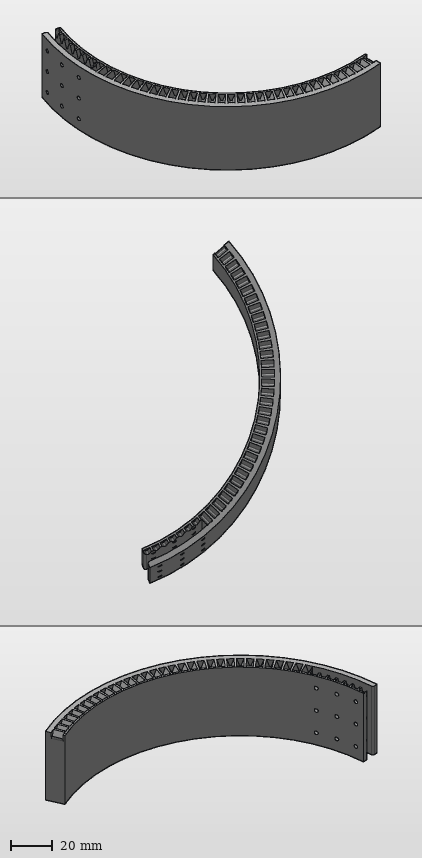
import cadquery as cq
import math

OUTER_RADIUS = 100.0
BAND_THICKNESS = 10.0
OUTER_SKIN = 2.9
INNER_SKIN = 1.0
HEIGHT = 40.0
START_ANGLE = -100.0
END_ANGLE = 9.0

INNER_RADIUS = OUTER_RADIUS - BAND_THICKNESS
CORE_OUTER_RADIUS = OUTER_RADIUS - OUTER_SKIN
CORE_INNER_RADIUS = INNER_RADIUS + INNER_SKIN

SLOT_WIDTH = 4.0
SLOT_END_ANGLE = -80.0
SLOT_MOUTH_RADIUS = 1.0

GROOVE_COUNT = 39
GROOVE_PITCH_ANGLE = 2.82
FIRST_GROOVE_OFFSET_ANGLE = 1.2
FIRST_GROOVE_ANGLE = START_ANGLE + FIRST_GROOVE_OFFSET_ANGLE
GROOVE_WIDTH = 3.5
GROOVE_DEPTH = 4.0
GROOVE_BOTTOM_RADIUS = 0.5

HOLE_DIAMETER = 2.0
HOLE_ANGLES = (-97.0, -90.0, -83.0)
HOLE_ROW_SPACING = 13.0

OVERCUT = 1.2
OVERCUT_ANGLE = 1.0

ARC_CENTER_X = -OUTER_RADIUS * math.cos(math.radians(START_ANGLE))
ARC_CENTER_Y = OUTER_RADIUS


def polar_point(radius, angle):
    """Point at a radius and an angle in degrees about the arc axis."""
    turn = math.radians(angle)
    return (radius * math.cos(turn), radius * math.sin(turn))


def arc_band(inner, outer, start, end):
    """Full-height ring sector between two radii and two angles."""
    middle = (start + end) / 2
    return (
        cq.Workplane("XY")
        .moveTo(*polar_point(outer, start))
        .threePointArc(polar_point(outer, middle), polar_point(outer, end))
        .lineTo(*polar_point(inner, end))
        .threePointArc(polar_point(inner, middle), polar_point(inner, start))
        .close()
        .extrude(HEIGHT)
    )


def slot():
    """Gap between the outer skin and the thinned core."""
    return arc_band(
        CORE_OUTER_RADIUS - SLOT_WIDTH,
        CORE_OUTER_RADIUS,
        START_ANGLE - OVERCUT_ANGLE,
        SLOT_END_ANGLE,
    )


def groove_cutter():
    """One V groove with a rounded bottom, lying along the X direction."""
    half_width = GROOVE_WIDTH / 2
    circle_depth = GROOVE_DEPTH - GROOVE_BOTTOM_RADIUS
    rim_to_circle = math.hypot(half_width, circle_depth)
    flank_angle = math.atan2(half_width, circle_depth) - math.asin(GROOVE_BOTTOM_RADIUS / rim_to_circle)
    tangent_y = GROOVE_BOTTOM_RADIUS * math.cos(flank_angle)
    tangent_z = HEIGHT - circle_depth - GROOVE_BOTTOM_RADIUS * math.sin(flank_angle)
    return (
        cq.Workplane("YZ", origin=(CORE_INNER_RADIUS - OVERCUT, 0, 0))
        .moveTo(-half_width, HEIGHT)
        .lineTo(-tangent_y, tangent_z)
        .threePointArc((0, HEIGHT - GROOVE_DEPTH), (tangent_y, tangent_z))
        .lineTo(half_width, HEIGHT)
        .close()
        .extrude(CORE_OUTER_RADIUS - CORE_INNER_RADIUS + 2 * OVERCUT)
    )


def grooves():
    """Radial V grooves, trimmed to stop at the two skins."""
    cutter = groove_cutter()
    core = arc_band(
        CORE_INNER_RADIUS,
        CORE_OUTER_RADIUS,
        START_ANGLE - OVERCUT_ANGLE,
        END_ANGLE + OVERCUT_ANGLE,
    )
    cutters = cq.Workplane("XY")
    for index in range(GROOVE_COUNT):
        angle = FIRST_GROOVE_ANGLE + index * GROOVE_PITCH_ANGLE
        cutters = cutters.add(cutter.rotate((0, 0, 0), (0, 0, 1), angle))
    return core.intersect(cq.Workplane(cq.Compound.makeCompound(cutters.vals())))


def holes():
    """Radial holes through the outer skin and the thinned core."""
    row_heights = [HEIGHT / 2 + row * HOLE_ROW_SPACING for row in (-1, 0, 1)]
    column = (
        cq.Workplane("YZ", origin=(INNER_RADIUS - OVERCUT, 0, 0))
        .pushPoints([(0, height) for height in row_heights])
        .circle(HOLE_DIAMETER / 2)
        .extrude(BAND_THICKNESS + 2 * OVERCUT)
    )
    drills = cq.Workplane("XY")
    for angle in HOLE_ANGLES:
        drills = drills.add(column.rotate((0, 0, 0), (0, 0, 1), angle))
    return cq.Workplane(cq.Compound.makeCompound(drills.vals()))


def rounded_slot_mouth(solid):
    """Round the two upright edges where the slot opens at the start end."""
    for radius in (CORE_OUTER_RADIUS, CORE_OUTER_RADIUS - SLOT_WIDTH):
        x, y = polar_point(radius, START_ANGLE)
        corner = cq.selectors.NearestToPointSelector((x, y, HEIGHT / 2))
        solid = solid.edges("|Z").edges(corner).fillet(SLOT_MOUTH_RADIUS)
    return solid


band = arc_band(INNER_RADIUS, OUTER_RADIUS, START_ANGLE, END_ANGLE)
band = rounded_slot_mouth(band.cut(slot()))
band = band.cut(grooves()).cut(holes())
result = band.translate((ARC_CENTER_X, ARC_CENTER_Y, 0))